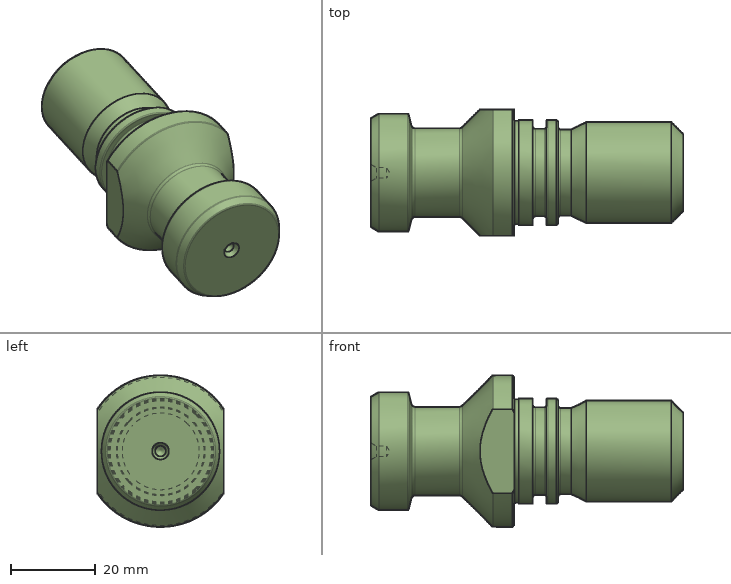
import cadquery as cq
import math

length = 74.0

head_radius = 28.0 / 2
head_face_radius = 12.9
head_bevel_end = 1.9
head_end = 8.95
edge_fillet = 0.4

neck_radius = 21.0 / 2
neck_start = 9.85
neck_head_fillet = 0.8
neck_collar_fillet = 1.1

collar_radius = 36.0 / 2
collar_cone_end = 28.85
collar_cone_start = collar_cone_end - (collar_radius - neck_radius)
collar_end = 34.0
collar_chamfer = 0.45
across_flats = 30.0

relief_radius = 24.6 / 2
land_radius = 25.0 / 2
front_land_start = 35.0
ring_groove_start = 38.4
ring_groove_end = 41.6
ring_groove_radius = 20.8 / 2
land_end = 44.4
land_chamfer = 0.45
land_fillet = 0.3
groove_fillet = 0.5
collar_foot_fillet = 0.2

undercut_radius = 20.5 / 2
undercut_end = 47.5
shank_radius = 24.0 / 2
shank_start = 51.05
tip_chamfer_length = 2.9
tip_radius = 9.1

hole_radius = 2.5 / 2
hole_mouth_radius = 4.0 / 2
countersink_depth = (hole_mouth_radius - hole_radius) / math.tan(math.radians(30))
hole_depth = 3.7
drill_tip_depth = hole_radius / math.tan(math.radians(59))


def turned_body():
    """Revolve the half outline about X."""
    outline = [
        (0, 0),
        (0, head_face_radius),
        (head_bevel_end, head_radius),
        (head_end, head_radius),
        (neck_start, neck_radius),
        (collar_cone_start, neck_radius),
        (collar_cone_end, collar_radius),
        (collar_end - collar_chamfer, collar_radius),
        (collar_end, collar_radius - collar_chamfer),
        (collar_end, relief_radius),
        (front_land_start, relief_radius),
        (front_land_start, land_radius),
        (ring_groove_start, land_radius),
        (ring_groove_start, ring_groove_radius),
        (ring_groove_end, ring_groove_radius),
        (ring_groove_end, land_radius),
        (land_end - land_chamfer, land_radius),
        (land_end, land_radius - land_chamfer),
        (land_end, undercut_radius),
        (undercut_end, undercut_radius),
        (shank_start, shank_radius),
        (length - tip_chamfer_length, shank_radius),
        (length, tip_radius),
        (length, 0),
    ]
    return cq.Workplane("XY").polyline(outline).close().revolve(360, (0, 0, 0), (1, 0, 0))


def fillet_ring(body, x, radius, size):
    """Round the circular edge of the given radius at position x."""
    reach = radius + 0.01
    ring_zone = cq.selectors.BoxSelector(
        (x - 0.01, -reach, -reach), (x + 0.01, reach, reach), boundingbox=True
    )
    edges = [edge for edge in body.edges(ring_zone).vals() if abs(edge.radius() - radius) < 0.01]
    return body.newObject(edges).fillet(size)


def wrench_flats(body):
    """Trim the collar to its width across flats."""
    slab = cq.Workplane("XY").box(length, across_flats, 2 * collar_radius, centered=(False, True, True))
    return body.intersect(slab)


def centre_hole():
    """Countersunk blind hole with a conical bottom."""
    outline = [
        (0, 0),
        (0, hole_mouth_radius),
        (countersink_depth, hole_radius),
        (hole_depth, hole_radius),
        (hole_depth + drill_tip_depth, 0),
    ]
    return cq.Workplane("XY").polyline(outline).close().revolve(360, (0, 0, 0), (1, 0, 0))


rounded_rings = [
    (0, head_face_radius, edge_fillet),
    (head_bevel_end, head_radius, edge_fillet),
    (head_end, head_radius, edge_fillet),
    (neck_start, neck_radius, neck_head_fillet),
    (collar_cone_start, neck_radius, neck_collar_fillet),
    (collar_cone_end, collar_radius, edge_fillet),
    (collar_end, relief_radius, collar_foot_fillet),
    (ring_groove_start, land_radius, land_fillet),
    (ring_groove_start, ring_groove_radius, groove_fillet),
    (ring_groove_end, ring_groove_radius, groove_fillet),
    (ring_groove_end, land_radius, land_fillet),
    (land_end, undercut_radius, groove_fillet),
]

body = turned_body()
for ring_x, ring_radius, ring_fillet in rounded_rings:
    body = fillet_ring(body, ring_x, ring_radius, ring_fillet)

result = wrench_flats(body).cut(centre_hole())